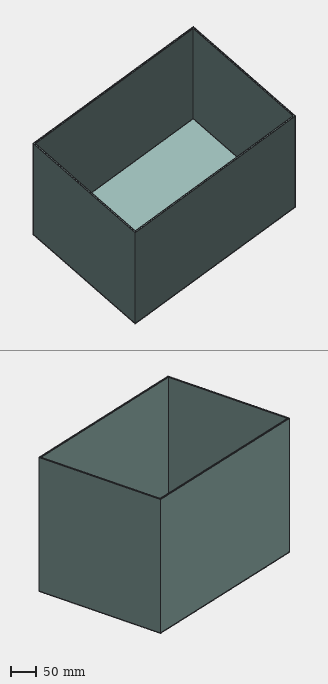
import cadquery as cq

width = 300.0
length = 430.0
height = 300.0

wall = 3.0

outer = cq.Workplane("XY").box(width, length, height, centered=(True, True, False))

cavity = (
    cq.Workplane("XY")
    .workplane(offset=wall)
    .rect(width - 2 * wall, length - 2 * wall)
    .extrude(height - wall)
)

result = outer.cut(cavity)